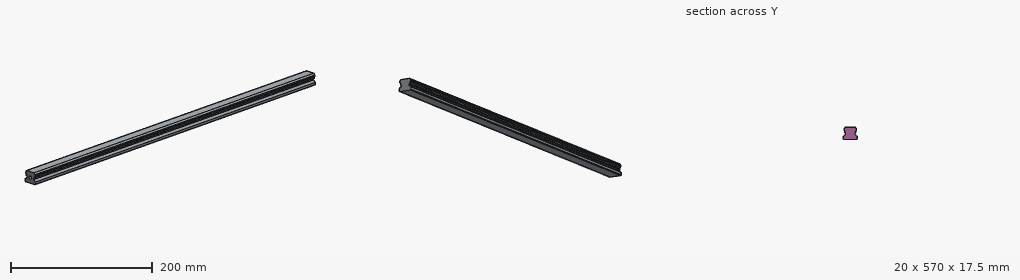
import cadquery as cq

RAIL_WIDTH = 20.0
RAIL_HEIGHT = 17.5
RAIL_LENGTH = 570.0

HALF_WIDTH = RAIL_WIDTH / 2
HEAD_HALF_WIDTH = 9.0
TOP_HALF_WIDTH = 7.2
NECK_HALF_WIDTH = 7.9
WAIST_HALF_WIDTH = 6.8

BASE_CHAMFER = 1.0

FOOT_TOP = 4.3
WAIST_BOTTOM = 7.2
WAIST_TOP = 9.1
NECK_BOTTOM = 9.8
NECK_TOP = 11.8
HEAD_BOTTOM = 13.2
HEAD_TOP = 15.0

END_HOLE_DIAMETER = 4.4
END_HOLE_DEPTH = 15.0
END_HOLE_HEIGHT = 8.4


def make_rail():
    """Symmetric rail profile, extruded along Y and centred on the origin in X and Y."""
    right_side = [
        (HALF_WIDTH - BASE_CHAMFER, 0),
        (HALF_WIDTH, BASE_CHAMFER),
        (HALF_WIDTH, FOOT_TOP),
        (WAIST_HALF_WIDTH, WAIST_BOTTOM),
        (WAIST_HALF_WIDTH, WAIST_TOP),
        (NECK_HALF_WIDTH, NECK_BOTTOM),
        (NECK_HALF_WIDTH, NECK_TOP),
        (HEAD_HALF_WIDTH, HEAD_BOTTOM),
        (HEAD_HALF_WIDTH, HEAD_TOP),
        (TOP_HALF_WIDTH, RAIL_HEIGHT),
    ]
    left_side = [(-x, z) for x, z in reversed(right_side)]
    profile = cq.Workplane("XZ").polyline(right_side + left_side).close()
    return profile.extrude(RAIL_LENGTH / 2, both=True)


def make_end_hole():
    """Cylinder that enters the front end face along +Y."""
    front_face = cq.Workplane("XZ", origin=(0, -RAIL_LENGTH / 2, END_HOLE_HEIGHT))
    return front_face.circle(END_HOLE_DIAMETER / 2).extrude(-END_HOLE_DEPTH)


result = make_rail().cut(make_end_hole())